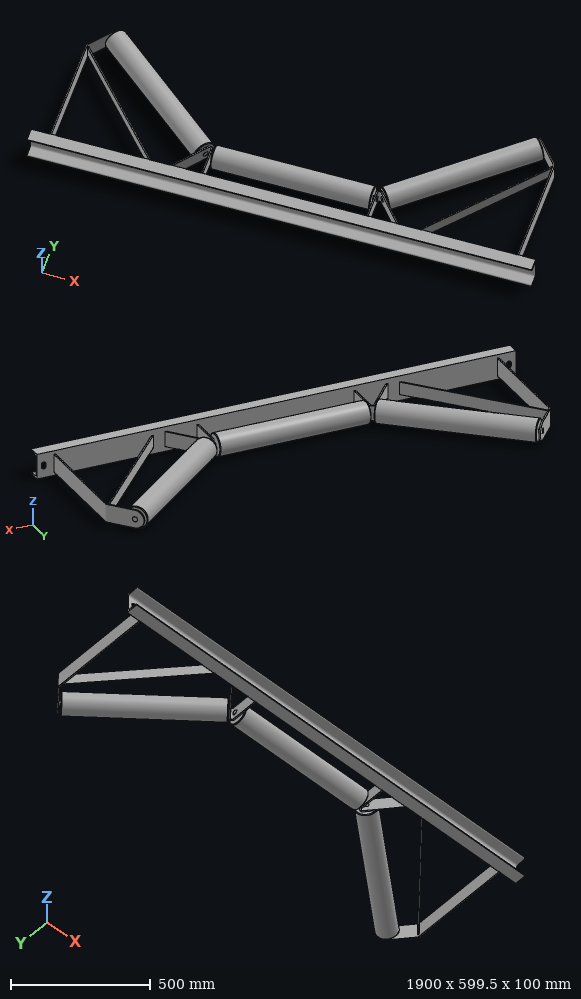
import cadquery as cq
import math

channel_length = 1900.0
channel_height = 100.0
channel_depth = 50.0
web_thickness = 6.0
flange_thickness = 8.5
flange_taper = 0.08
root_radius = 8.5
toe_radius = 4.5
slot_width = 18.0
slot_height = 27.0
slot_end_distance = 28.0

roller_diameter = 89.0
roller_length = 600.0
roller_edge_chamfer = 3.0
shaft_diameter = 20.0
center_roller_height = 118.0
trough_angle = 40.0
wing_inner_x = 338.5
wing_inner_y = 127.3

plate_thickness = 6.0
post_gap = 8.0
leg_gap = 3.0
outer_gap = 8.0
outer_bracket_width = 72.0
outer_bend_radius = 18.0
outer_post_x = 882.0
inner_bracket_width = 60.0
inner_bend_radius = 12.0
brace_width = 50.0
brace_foot_x = 492.0

cos_trough = math.cos(math.radians(trough_angle))
sin_trough = math.sin(math.radians(trough_angle))
post_reach = post_gap + plate_thickness
leg_reach = leg_gap + plate_thickness
outer_reach = outer_gap + plate_thickness
center_place = (-roller_length / 2, center_roller_height, 0)


def plate_point_at_x(along, x):
    """Point at x on the line square to the wing roller axis, `along` from its inner end."""
    across = (wing_inner_x + along * cos_trough - x) / sin_trough
    return (x, wing_inner_y + along * sin_trough + across * cos_trough)


def plate_point_at_y(along, y):
    """Point at y on the line square to the wing roller axis, `along` from its inner end."""
    across = (y - wing_inner_y - along * sin_trough) / cos_trough
    return (wing_inner_x + along * cos_trough - across * sin_trough, y)


def extrude_flat(points, width):
    """Solid of an XY outline, centred on Z = 0."""
    return cq.Workplane("XY").polyline(points).close().extrude(width / 2, both=True)


def fillet_upright_edge(body, point, radius):
    """Round the Z-parallel edge nearest to an XY point."""
    return body.edges("|Z").edges(cq.NearestToPointSelector((*point, 0))).fillet(radius)


def place_on_wing(body):
    """Move a body built along +X from the origin onto the right-hand wing roller axis."""
    turned = body.rotate((0, 0, 0), (0, 0, 1), trough_angle)
    return turned.translate((wing_inner_x, wing_inner_y, 0))


def make_channel():
    half_height = channel_height / 2
    taper_rise = flange_taper * channel_depth / 2
    tip_z = half_height - flange_thickness + taper_rise
    root_z = tip_z - flange_taper * (channel_depth - web_thickness)
    outline = [
        (0, -half_height),
        (0, half_height),
        (-channel_depth, half_height),
        (-channel_depth, tip_z),
        (-web_thickness, root_z),
        (-web_thickness, -root_z),
        (-channel_depth, -tip_z),
        (-channel_depth, -half_height),
    ]
    body = cq.Workplane("YZ").polyline(outline).close().extrude(channel_length / 2, both=True)
    for side in (1, -1):
        root = cq.NearestToPointSelector((0, -web_thickness, side * root_z))
        body = body.edges("|X").edges(root).fillet(root_radius)
        toe = cq.NearestToPointSelector((0, -channel_depth, side * tip_z))
        body = body.edges("|X").edges(toe).fillet(toe_radius)
    slot_x = channel_length / 2 - slot_end_distance
    slots = (
        cq.Workplane("XZ")
        .pushPoints([(-slot_x, 0), (slot_x, 0)])
        .slot2D(slot_height, slot_width, 90)
        .extrude(web_thickness)
    )
    return body.cut(slots)


def make_shaft(inner_reach, outer_reach):
    """Shaft along +X, reaching past the roller ends to the far faces of its plates."""
    return (
        cq.Workplane("YZ", origin=(-inner_reach, 0, 0))
        .circle(shaft_diameter / 2)
        .extrude(roller_length + inner_reach + outer_reach)
    )


def make_roller(shaft):
    """Roller on its shaft along +X, the inner end face of the roller at X = 0."""
    drum = cq.Workplane("YZ").circle(roller_diameter / 2).extrude(roller_length)
    return drum.faces("<X or >X").chamfer(roller_edge_chamfer).union(shaft)


def make_inner_bracket(center_shaft, wing_shaft):
    """Inverted V: a post beside the centre roller and a leg square to the wing roller."""
    post_near = roller_length / 2 + post_gap
    post_far = post_near + plate_thickness
    leg_near = -leg_gap
    leg_far = -leg_reach
    outer_apex = plate_point_at_x(leg_near, post_near)
    inner_apex = plate_point_at_x(leg_far, post_far)
    outline = [
        (post_near, 0),
        outer_apex,
        plate_point_at_y(leg_near, 0),
        plate_point_at_y(leg_far, 0),
        inner_apex,
        (post_far, 0),
    ]
    body = extrude_flat(outline, inner_bracket_width)
    body = fillet_upright_edge(body, inner_apex, inner_bend_radius - plate_thickness)
    body = fillet_upright_edge(body, outer_apex, inner_bend_radius)
    return body.cut(center_shaft.translate(center_place)).cut(place_on_wing(wing_shaft))


def make_outer_bracket(wing_shaft):
    """Post bent inward to carry the outer end of the wing roller, with a round end about the shaft."""
    near = roller_length + outer_gap
    far = roller_length + outer_reach
    inner_knee = plate_point_at_x(near, outer_post_x - plate_thickness)
    outer_knee = plate_point_at_x(far, outer_post_x)
    shaft_y = wing_inner_y + near * sin_trough
    shaft_far_y = wing_inner_y + far * sin_trough
    outline = [
        (outer_post_x - plate_thickness, 0),
        inner_knee,
        plate_point_at_y(near, shaft_y),
        plate_point_at_y(far, shaft_far_y),
        outer_knee,
        (outer_post_x, 0),
    ]
    body = extrude_flat(outline, outer_bracket_width)
    body = fillet_upright_edge(body, inner_knee, outer_bend_radius - plate_thickness)
    body = fillet_upright_edge(body, outer_knee, outer_bend_radius)
    round_end = (
        cq.Workplane("YZ", origin=(near, 0, 0))
        .circle(outer_bracket_width / 2)
        .extrude(plate_thickness)
    )
    return body.union(place_on_wing(round_end)).cut(place_on_wing(wing_shaft))


def make_brace(outer_bracket):
    """Sloping flat bar from the channel back into the knee of the outer bracket."""
    post_x = outer_post_x - plate_thickness
    knee_x, knee_y = plate_point_at_x(roller_length + outer_gap, post_x)
    slope = knee_y / (knee_x - brace_foot_x)
    half_foot = plate_thickness / 2 * math.hypot(1, 1 / slope)
    outline = [
        (brace_foot_x - half_foot, 0),
        (brace_foot_x + half_foot, 0),
        (knee_x + half_foot, knee_y),
        (knee_x - half_foot, knee_y),
    ]
    return extrude_flat(outline, brace_width).cut(outer_bracket)


def both_sides(body):
    """The right-hand body and its mirror image on the left."""
    return [body.val(), body.mirror("YZ").val()]


channel = make_channel()
center_shaft = make_shaft(post_reach, post_reach)
wing_shaft = make_shaft(leg_reach, outer_reach)
center_roller = make_roller(center_shaft).translate(center_place)
wing_roller = place_on_wing(make_roller(wing_shaft))
inner_bracket = make_inner_bracket(center_shaft, wing_shaft)
outer_bracket = make_outer_bracket(wing_shaft)
brace = make_brace(outer_bracket)

result = cq.Compound.makeCompound([
    channel.val(),
    center_roller.val(),
    *both_sides(wing_roller),
    *both_sides(inner_bracket),
    *both_sides(outer_bracket),
    *both_sides(brace),
])